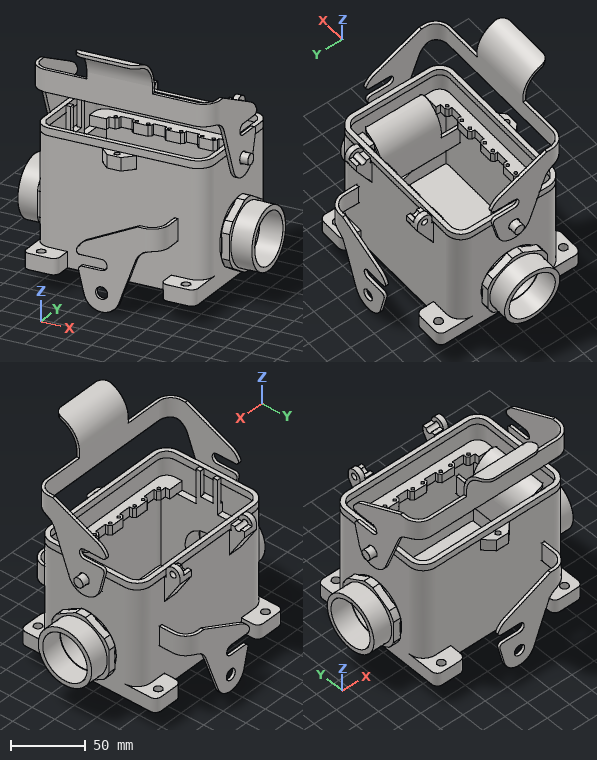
import cadquery as cq
import math

HOUSING_LENGTH = 131.6
HOUSING_WIDTH = 89.9
WALL = 3.9
FLOOR = 3.9
CORNER_RADIUS = 12.5
HOUSING_TOP = 94.1
GASKET_HEIGHT = 5.7
CAVITY_LENGTH = HOUSING_LENGTH - 2 * WALL
CAVITY_WIDTH = HOUSING_WIDTH - 2 * WALL
CAVITY_RADIUS = CORNER_RADIUS - WALL

LEDGE_TOP = 79.4
LEDGE_THICKNESS = 7.9
LEDGE_BOTTOM = LEDGE_TOP - LEDGE_THICKNESS
LEDGE_OPENING_LENGTH = 98.1
LEDGE_OPENING_WIDTH = 60.0
END_GAP_WIDTH = 52.2
RECESS_PITCH = 25.0
RECESS_COUNT = 4
RECESS_WIDTH = 10.0
RECESS_DEPTH = 4.5
RECESS_CHAMFER = 2.0
SCREW_HOLE_DIAMETER = 2.4
SCREW_HOLE_SPACING = 16.2
SCREW_HOLE_Y = 32.7

PAD_THICKNESS = 5.1
CODING_BLOCK_WIDTH = 19.0
POST_WIDTH = 3.9
POST_THICKNESS = 3.5
POST_TOP = 100.9

FOOT_LENGTH = 26.1
FOOT_SPAN = 120.2
FOOT_HEIGHT = 12.1
FOOT_RADIUS = 5.1
FOOT_HOLE_DIAMETER = 6.5
FOOT_HOLE_X = 55.3
FOOT_HOLE_Y = 53.0

GLAND_HEIGHT = 32.0
GLAND_SPAN = 179.0
NUT_INNER_X = 67.3
NUT_OUTER_X = 73.5
NUT_FLATS = 50.5
NUT_CORNER_DIAMETER = 54.0
COLLAR_DIAMETER = 50.0
TUBE_DIAMETER = 47.0
TUBE_BORE = 39.1
BORE_STEP_X = 71.9
WALL_BORE = 38.0

PIN_DIAMETER = 8.0
PIN_SPAN = 151.5
PIN_HEIGHT = 87.3

LUG_BASE_WIDTH = 26.1
LUG_DEPTH = 7.7
LUG_HEIGHT = 10.0
LUG_HOLE_DIAMETER = 4.0
LUG_HOLE_OFFSET = 3.1

HINGE_RADIUS = 6.0
HINGE_HOLE_DIAMETER = 5.1
HINGE_Y = 52.4
HINGE_Z = 99.2
HINGE_FOOT_Z = 72.8
HINGE_OUTER_X = 39.5
HINGE_INNER_X = 27.4
HINGE_EAR_THICKNESS = 4.5

LEVER_WIDTH = 139.5
LEVER_SHEET = 2.5
LEVER_REACH = 44.7
LEVER_BEND_RADIUS = 12.9
LEVER_TOP = 54.8
BAR_HEIGHT = 16.5
BAR_BOTTOM = LEVER_TOP - BAR_HEIGHT
EYE_RADIUS = 14.0
EYE_HOLE_DIAMETER = 9.0
HEEL_LEAN = math.radians(14)
FRONT_LEAN = math.radians(20.6)
HEEL_RADIUS = 3.0
HOOK_SLOT_WIDTH = 8.3
HOOK_SLOT_W = 20.8
THROAT_RADIUS = 13.8
SHOULDER_U = 27.8
NOSE_START = (-12.0, 36.0)
NOSE_MIDDLE = (-15.8, 33.3)
NOSE_END = (-18.7, 29.2)
TIP_MIDDLE = (-19.0, 26.5)
TIP_END_U = -17.1
TAB_WIDTH = 50.4
TAB_STRAIGHT_TOP = 59.7
TAB_RADIUS = 22.8
TAB_CORNER_RADIUS = 7.5


def rounded_block(length, width, radius, bottom, top):
    """Upright block centred on the Z axis with rounded vertical edges."""
    block = cq.Workplane("XY").workplane(offset=bottom).rect(length, width).extrude(top - bottom)
    return block.edges("|Z").fillet(radius)


def box(x_range, y_range, z_range):
    """Plain block given by its limits along each axis."""
    limits = (x_range, y_range, z_range)
    sizes = [high - low for low, high in limits]
    middles = [(high + low) / 2 for low, high in limits]
    return cq.Workplane("XY").box(*sizes).translate(tuple(middles))


def x_cylinder(diameter, x_start, x_end, y, z):
    """Round bar along X."""
    bar = cq.Workplane("YZ").workplane(offset=x_start).center(y, z)
    return bar.circle(diameter / 2).extrude(x_end - x_start)


def mirrored_pair(shape, plane):
    """A shape together with its mirror image."""
    return shape.union(shape.mirror(plane))



def lever_leg_outline():
    """Side outline of a leg, running into the cross bar at its +u end."""
    slot_bottom = HOOK_SLOT_W - HOOK_SLOT_WIDTH / 2
    slot_top = HOOK_SLOT_W + HOOK_SLOT_WIDTH / 2
    heel_tangent = (-EYE_RADIUS * math.cos(HEEL_LEAN), -EYE_RADIUS * math.sin(HEEL_LEAN))
    front_tangent = (EYE_RADIUS * math.cos(FRONT_LEAN), -EYE_RADIUS * math.sin(FRONT_LEAN))
    heel_u = heel_tangent[0] - (slot_bottom - heel_tangent[1]) * math.tan(HEEL_LEAN)

    throat_start_w = BAR_BOTTOM - THROAT_RADIUS * (1 - math.sin(FRONT_LEAN))
    throat_start_u = front_tangent[0] + (throat_start_w - front_tangent[1]) * math.tan(FRONT_LEAN)
    throat_centre_u = throat_start_u + THROAT_RADIUS * math.cos(FRONT_LEAN)
    throat_centre_w = BAR_BOTTOM - THROAT_RADIUS
    throat_mid_angle = (FRONT_LEAN + math.pi / 2) / 2
    throat_middle = (
        throat_centre_u - THROAT_RADIUS * math.cos(throat_mid_angle),
        throat_centre_w + THROAT_RADIUS * math.sin(throat_mid_angle),
    )

    outline = (
        cq.Workplane("XZ")
        .moveTo(*heel_tangent)
        .lineTo(heel_u, slot_bottom)
        .lineTo(0, slot_bottom)
        .threePointArc((HOOK_SLOT_WIDTH / 2, HOOK_SLOT_W), (0, slot_top))
        .lineTo(TIP_END_U, slot_top)
        .threePointArc(TIP_MIDDLE, NOSE_END)
        .threePointArc(NOSE_MIDDLE, NOSE_START)
        .lineTo(SHOULDER_U, LEVER_TOP)
        .lineTo(LEVER_REACH, LEVER_TOP)
        .lineTo(LEVER_REACH, BAR_BOTTOM)
        .lineTo(throat_centre_u, BAR_BOTTOM)
        .threePointArc(throat_middle, (throat_start_u, throat_start_w))
        .lineTo(*front_tangent)
        .threePointArc((0, -EYE_RADIUS), heel_tangent)
        .close()
    )
    plate = outline.extrude(LEVER_WIDTH / 2, both=True)
    heel_edge = cq.selectors.NearestToPointSelector((heel_u, 0, slot_bottom))
    return plate.edges(heel_edge).fillet(HEEL_RADIUS)


def lever_bent_strip():
    """U-shaped strip seen from above: two legs joined by the cross bar at +u."""
    def u_block(inset, bend_radius):
        reach = LEVER_REACH - inset
        half_width = LEVER_WIDTH / 2 - inset
        block = box((-LEVER_REACH, reach), (-half_width, half_width), (-EYE_RADIUS, LEVER_TOP))
        return block.edges("|Z and >X").fillet(bend_radius)

    return u_block(0, LEVER_BEND_RADIUS).cut(u_block(LEVER_SHEET, LEVER_BEND_RADIUS - LEVER_SHEET))


def lever_tab():
    """Finger tab that rises from the cross bar and curls outwards."""
    inner_u = LEVER_REACH - LEVER_SHEET
    end_u = inner_u + TAB_RADIUS
    concave_radius = TAB_RADIUS - LEVER_SHEET
    diagonal = math.sqrt(0.5)
    half_width = TAB_WIDTH / 2
    curl = (
        cq.Workplane("XZ")
        .moveTo(inner_u, BAR_BOTTOM)
        .lineTo(inner_u, TAB_STRAIGHT_TOP)
        .threePointArc(
            (end_u - TAB_RADIUS * diagonal, TAB_STRAIGHT_TOP + TAB_RADIUS * diagonal),
            (end_u, TAB_STRAIGHT_TOP + TAB_RADIUS),
        )
        .lineTo(end_u, TAB_STRAIGHT_TOP + concave_radius)
        .threePointArc(
            (end_u - concave_radius * diagonal, TAB_STRAIGHT_TOP + concave_radius * diagonal),
            (LEVER_REACH, TAB_STRAIGHT_TOP),
        )
        .lineTo(LEVER_REACH, BAR_BOTTOM)
        .close()
        .extrude(half_width, both=True)
    )
    plan = box((0, end_u), (-half_width, half_width), (0, TAB_STRAIGHT_TOP + TAB_RADIUS))
    return curl.intersect(plan.edges("|Z and >X").fillet(TAB_CORNER_RADIUS))


def make_lever():
    """Locking lever with its pivot on the origin and its cross bar towards +X."""
    lever = lever_leg_outline().intersect(lever_bent_strip()).union(lever_tab())
    eye_holes = cq.Workplane("XZ").circle(EYE_HOLE_DIAMETER / 2).extrude(LEVER_WIDTH, both=True)
    return lever.cut(eye_holes)



def feet():
    """Four feet, each squaring off a bottom corner of the housing."""
    x_outer = HOUSING_LENGTH / 2
    foot = box(
        (x_outer - FOOT_LENGTH, x_outer),
        (HOUSING_WIDTH / 2 - CORNER_RADIUS, FOOT_SPAN / 2),
        (0, FOOT_HEIGHT),
    )
    foot = foot.edges("|Z and >Y").fillet(FOOT_RADIUS)
    hole = cq.Workplane("XY").center(FOOT_HOLE_X, FOOT_HOLE_Y)
    foot = foot.cut(hole.circle(FOOT_HOLE_DIAMETER / 2).extrude(FOOT_HEIGHT))
    return mirrored_pair(mirrored_pair(foot, "YZ"), "XZ")


def ledge():
    """Toothed plate around the cavity that carries the contact insert."""
    plate = rounded_block(CAVITY_LENGTH, CAVITY_WIDTH, CAVITY_RADIUS, LEDGE_BOTTOM, LEDGE_TOP)
    z_range = (LEDGE_BOTTOM, LEDGE_TOP)
    half_opening = LEDGE_OPENING_WIDTH / 2
    plate = plate.cut(
        box((-LEDGE_OPENING_LENGTH / 2, LEDGE_OPENING_LENGTH / 2), (-half_opening, half_opening), z_range)
    )
    plate = plate.cut(
        box((-CAVITY_LENGTH / 2, CAVITY_LENGTH / 2), (-END_GAP_WIDTH / 2, END_GAP_WIDTH / 2), z_range)
    )

    recess_half = RECESS_WIDTH / 2
    mouth_half = recess_half + RECESS_CHAMFER
    recess_outline = [
        (-mouth_half, half_opening),
        (-recess_half, half_opening + RECESS_CHAMFER),
        (-recess_half, half_opening + RECESS_DEPTH),
        (recess_half, half_opening + RECESS_DEPTH),
        (recess_half, half_opening + RECESS_CHAMFER),
        (mouth_half, half_opening),
    ]
    floor_plane = cq.Workplane("XY").workplane(offset=LEDGE_BOTTOM)
    recess = floor_plane.polyline(recess_outline).close().extrude(LEDGE_THICKNESS)
    screw_holes = (
        floor_plane.pushPoints([(side * SCREW_HOLE_SPACING / 2, SCREW_HOLE_Y) for side in (-1, 1)])
        .circle(SCREW_HOLE_DIAMETER / 2)
        .extrude(LEDGE_THICKNESS)
    )
    cutter = mirrored_pair(recess.union(screw_holes), "XZ")
    for index in range(RECESS_COUNT):
        x = (index - (RECESS_COUNT - 1) / 2) * RECESS_PITCH
        plate = plate.cut(cutter.translate((x, 0, 0)))
    return plate


def end_pads():
    """Thickened end walls below the ledge."""
    x_inner = CAVITY_LENGTH / 2 - PAD_THICKNESS
    y_half = CAVITY_WIDTH / 2
    walls = mirrored_pair(box((x_inner, CAVITY_LENGTH / 2), (-y_half, y_half), (FLOOR, LEDGE_BOTTOM)), "YZ")
    return walls.intersect(
        rounded_block(CAVITY_LENGTH, CAVITY_WIDTH, CAVITY_RADIUS, FLOOR, LEDGE_BOTTOM)
    )


def coding_posts():
    """Block on the -X pad with two posts that rise just above the gasket."""
    x_wall = -CAVITY_LENGTH / 2
    x_inner = x_wall + PAD_THICKNESS
    y_outer = CODING_BLOCK_WIDTH / 2
    block = box((x_wall, x_inner), (-y_outer, y_outer), (LEDGE_BOTTOM, LEDGE_TOP))
    post = box((x_inner - POST_THICKNESS, x_inner), (y_outer - POST_WIDTH, y_outer), (LEDGE_BOTTOM, POST_TOP))
    return block.union(mirrored_pair(post, "XZ"))


def glands():
    """Collar, hexagon nut and tube on each end wall, not yet bored."""
    x_wall = HOUSING_LENGTH / 2
    nut_plane = cq.Workplane("YZ").workplane(offset=NUT_INNER_X).center(0, GLAND_HEIGHT)
    nut_length = NUT_OUTER_X - NUT_INNER_X
    hexagon = nut_plane.polygon(6, NUT_FLATS, circumscribed=True)
    nut = hexagon.extrude(nut_length).intersect(
        x_cylinder(NUT_CORNER_DIAMETER, NUT_INNER_X, NUT_OUTER_X, 0, GLAND_HEIGHT)
    )
    collar = x_cylinder(COLLAR_DIAMETER, x_wall, NUT_INNER_X, 0, GLAND_HEIGHT)
    tube = x_cylinder(TUBE_DIAMETER, NUT_OUTER_X, GLAND_SPAN / 2, 0, GLAND_HEIGHT)
    return mirrored_pair(collar.union(nut).union(tube), "YZ")


def gland_bores():
    """Stepped bore through both glands and end walls."""
    narrow = x_cylinder(WALL_BORE, -BORE_STEP_X, BORE_STEP_X, 0, GLAND_HEIGHT)
    wide = x_cylinder(TUBE_BORE, BORE_STEP_X, GLAND_SPAN / 2, 0, GLAND_HEIGHT)
    return narrow.union(mirrored_pair(wide, "YZ"))


def pivot_pins():
    """Pins on the end walls for the upper lever."""
    return mirrored_pair(x_cylinder(PIN_DIAMETER, HOUSING_LENGTH / 2, PIN_SPAN / 2, 0, PIN_HEIGHT), "YZ")


def front_lug():
    """Trapezoidal lug with a vertical hole, under the gasket on the -Y wall."""
    y_wall = -HOUSING_WIDTH / 2
    base_half = LUG_BASE_WIDTH / 2
    tip_half = base_half - LUG_DEPTH
    lug_plane = cq.Workplane("XY").workplane(offset=HOUSING_TOP - LUG_HEIGHT)
    lug = (
        lug_plane.moveTo(-base_half, y_wall)
        .lineTo(-tip_half, y_wall - LUG_DEPTH)
        .lineTo(tip_half, y_wall - LUG_DEPTH)
        .lineTo(base_half, y_wall)
        .close()
        .extrude(LUG_HEIGHT)
    )
    hole = lug_plane.center(0, y_wall - LUG_HOLE_OFFSET).circle(LUG_HOLE_DIAMETER / 2).extrude(LUG_HEIGHT)
    return lug.cut(hole)


def rear_hinges():
    """Brackets on the +Y wall: a bored ear beside a block that holds the lower half of the same bore."""
    y_wall = HOUSING_WIDTH / 2
    y_inner = HINGE_Y - HINGE_RADIUS
    y_outer = HINGE_Y + HINGE_RADIUS
    block = (
        cq.Workplane("YZ")
        .workplane(offset=HINGE_INNER_X)
        .moveTo(y_wall, HINGE_FOOT_Z)
        .lineTo(y_outer, HOUSING_TOP)
        .lineTo(y_outer, HINGE_Z)
        .lineTo(y_inner, HINGE_Z)
        .lineTo(y_inner, HOUSING_TOP)
        .lineTo(y_wall, HOUSING_TOP)
        .close()
        .extrude(HINGE_OUTER_X - HINGE_INNER_X)
    )
    ear_start = HINGE_OUTER_X - HINGE_EAR_THICKNESS
    ear = x_cylinder(2 * HINGE_RADIUS, ear_start, HINGE_OUTER_X, HINGE_Y, HINGE_Z)
    bore = x_cylinder(HINGE_HOLE_DIAMETER, HINGE_INNER_X, HINGE_OUTER_X, HINGE_Y, HINGE_Z)
    return mirrored_pair(block.union(ear).cut(bore), "YZ")


def make_housing():
    """Open-topped box with all its fittings, as one solid."""
    body = rounded_block(HOUSING_LENGTH, HOUSING_WIDTH, CORNER_RADIUS, 0, HOUSING_TOP).union(feet())
    body = body.cut(rounded_block(CAVITY_LENGTH, CAVITY_WIDTH, CAVITY_RADIUS, FLOOR, HOUSING_TOP))
    for feature in (
        ledge(), end_pads(), coding_posts(), glands(), pivot_pins(), front_lug(), rear_hinges(),
    ):
        body = body.union(feature)
    return body.cut(gland_bores())


def make_gasket():
    """Rim ring that continues the housing walls upwards."""
    top = HOUSING_TOP + GASKET_HEIGHT
    ring = rounded_block(HOUSING_LENGTH, HOUSING_WIDTH, CORNER_RADIUS, HOUSING_TOP, top)
    return ring.cut(rounded_block(CAVITY_LENGTH, CAVITY_WIDTH, CAVITY_RADIUS, HOUSING_TOP, top))



LEVER_PLACES = [(-90, PIN_HEIGHT), (0, 0)]

levers = []
for turn, height in LEVER_PLACES:
    placed = make_lever().rotate((0, 0, 0), (0, 0, 1), turn).translate((0, 0, height))
    levers.append(placed)

housing = make_housing()
for lever in levers:
    housing = housing.cut(lever)
gasket = make_gasket()

bodies = [housing, gasket, *levers]
result = cq.Compound.makeCompound([body.solids().val() for body in bodies])